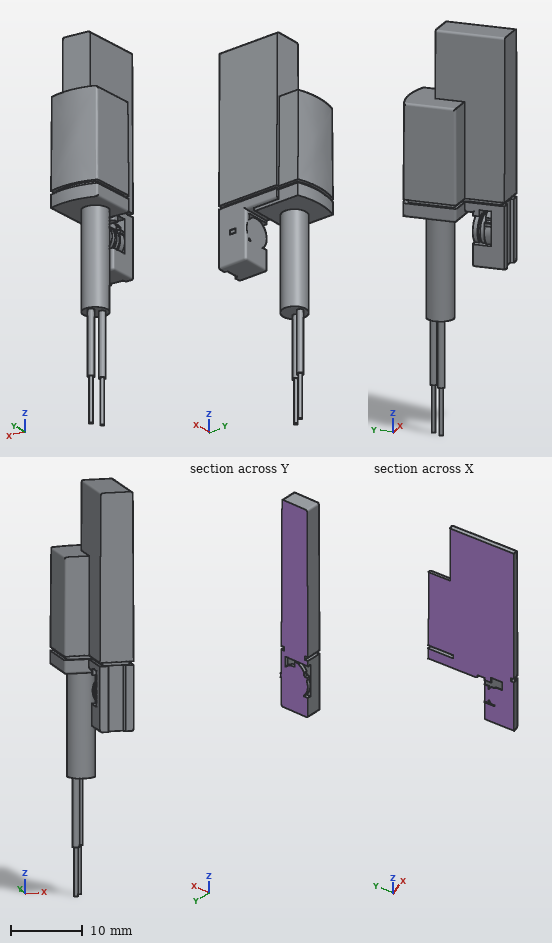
import cadquery as cq

total_height = 58.9
seam_bottom = 34.25
seam_top = 34.75
seam_inset = 0.55
seam_corner_radius = 1.0
edge_radius = 0.35

body_width = 7.95
body_front = 5.9
body_side_back = 13.8
body_back = 14.5
body_top = 48.9
body_draft_angle = 0.4
body_base_bottom = 32.2

block_left = 3.55
block_right = 8.4
block_back = 10.35
block_draft = 0.1
foot_back = 4.85
foot_bottom = 24.85
bridge_bottom = 32.75
foot_mid_x = (block_left + block_right) / 2

groove_left = 4.7
groove_right = 7.25
groove_depth = 0.5
groove_wall_slope = 0.25

pocket_floor = 28.15
pocket_roof = 32.35
pocket_front = 2.0
pocket_right = 7.65
recess_back = 3.8
recess_roof = 33.3
wheel_z = 29.95
wheel_diameter = 4.5
wheel_radius = wheel_diameter / 2
wheel_groove_depth = 0.4
wheel_rim_length = 0.7
cam_back = 3.05
cam_radius = 2.4
tooth_reach = 2.35
tooth_bottom = 1.05
tooth_top = 1.5
lobe_step_foot = (-1.6, 1.55)
lobe_step_tip = (-1.75, 2.1)
lobe_arc_middle = (-1.2, 2.8)
nub_right = 8.55
nub_height = 0.65

cable_x = 3.35
cable_y = 9.5
cable_diameter = 4.0
cable_bottom = 16.95
wire_mid_x = 2.95
wire_mid_y = 9.8
wire_pitch_x = 0.9
wire_pitch_y = 1.5
insulation_diameter = 1.0
insulation_bottom = 7.0
bare_diameter = 0.6


def box(x0, x1, y0, y1, z0, z1):
    """Box between two limits along each axis."""
    return cq.Workplane("XY").box(x1 - x0, y1 - y0, z1 - z0, centered=False).translate((x0, y0, z0))


def rod(x, y, diameter, z0, z1):
    """Round bar along Z."""
    return cq.Workplane("XY", origin=(x, y, z0)).circle(diameter / 2).extrude(z1 - z0)


def body_prism(z0, z1, inset=0.0, draft_angle=0.0):
    """Rear body outline with its bulged back, extruded between two heights."""
    left = inset
    right = body_width - inset
    side_back = body_side_back - inset
    return (
        cq.Workplane("XY", origin=(0, 0, z0))
        .moveTo(left, body_front + inset)
        .lineTo(right, body_front + inset)
        .lineTo(right, side_back)
        .threePointArc((body_width / 2, body_back - inset), (left, side_back))
        .close()
        .extrude(z1 - z0, taper=draft_angle)
    )


def left_corners(prism):
    """The two upright edges on the -X side of a body prism."""
    return prism.edges("not (<Z or >Z)").edges("<X")


def upper_housing():
    """Rear body and the tall block, both narrowing slightly towards the top."""
    body = body_prism(seam_top, body_top, draft_angle=body_draft_angle)
    body = left_corners(body).add(body.faces(">Z").edges("<X")).fillet(edge_radius)
    block = (
        cq.Workplane("XZ")
        .polyline([
            (block_left, seam_top),
            (block_right, seam_top),
            (block_right - block_draft, total_height),
            (block_left + block_draft, total_height),
        ])
        .close()
        .extrude(-block_back)
        .faces(">Z")
        .edges("|Y")
        .fillet(edge_radius)
    )
    return body.union(block)


def neck():
    """Inset band that joins the two housings, rounded in its inner corner."""
    body = body_prism(seam_bottom, seam_top, seam_inset)
    body = left_corners(body).fillet(edge_radius)
    block = box(
        block_left + seam_inset, block_right - seam_inset,
        seam_inset, block_back - seam_inset,
        seam_bottom, seam_top,
    )
    inner_corner = cq.selectors.NearestToPointSelector(
        (block_left + seam_inset, body_front + seam_inset, (seam_bottom + seam_top) / 2)
    )
    return body.union(block).edges("|Z").edges(inner_corner).fillet(seam_corner_radius)


def foot():
    """Foot under the tall block, with its front groove."""
    column = box(block_left, block_right, 0, foot_back, foot_bottom, seam_bottom)
    column = column.edges("(|Z and >Y) or (<Z and (not <Y))").fillet(edge_radius)
    bridge = box(block_left, block_right, foot_back - edge_radius, block_back, bridge_bottom, seam_bottom)
    bridge = bridge.edges("<Z and |Y").fillet(edge_radius)
    groove = (
        cq.Workplane("XY", origin=(0, 0, foot_bottom))
        .polyline([
            (groove_left, 0),
            (groove_left + groove_wall_slope, groove_depth),
            (groove_right - groove_wall_slope, groove_depth),
            (groove_right, 0),
        ])
        .close()
        .extrude(seam_bottom - foot_bottom)
    )
    return column.union(bridge).cut(groove)


def wheel_pocket():
    """Pocket open to the -X side and the back, with a taller recess for the cam."""
    pocket = box(block_left, pocket_right, pocket_front, foot_back, pocket_floor, pocket_roof)
    recess = box(block_left, pocket_right, pocket_front, recess_back, pocket_floor, recess_roof)
    return pocket.union(recess)


def adjusting_wheel():
    """Wheel along Y: a rim, a bevelled groove, a second rim and the stepped cam."""
    rim_front = foot_back - wheel_rim_length
    groove_radius = wheel_radius - wheel_groove_depth
    rims = (
        cq.Workplane("XY")
        .polyline([
            (0, foot_back),
            (wheel_radius, foot_back),
            (wheel_radius, rim_front),
            (groove_radius, rim_front),
            (wheel_radius, rim_front - wheel_groove_depth),
            (wheel_radius, cam_back),
            (0, cam_back),
        ])
        .close()
        .revolve(360, (0, 0, 0), (0, 1, 0))
        .translate((foot_mid_x, 0, wheel_z))
    )
    cam_plane = cq.Workplane("XZ", origin=(foot_mid_x, pocket_front, wheel_z))
    cam_length = cam_back - pocket_front
    cam = cam_plane.circle(cam_radius).extrude(-cam_length)
    lobe = (
        cam_plane.moveTo(0, 0)
        .lineTo(-tooth_reach, tooth_bottom)
        .lineTo(-tooth_reach, tooth_top)
        .lineTo(*lobe_step_foot)
        .lineTo(*lobe_step_tip)
        .threePointArc(lobe_arc_middle, (0, recess_roof - wheel_z))
        .close()
        .extrude(-cam_length)
    )
    nub = box(
        foot_mid_x, nub_right, pocket_front, cam_back, wheel_z - nub_height / 2, wheel_z + nub_height / 2
    )
    return rims.union(cam).union(lobe).union(nub)


def lower_housing():
    """Base of the rear body and the foot carrying the adjusting wheel."""
    base = body_prism(body_base_bottom, seam_bottom)
    base = left_corners(base).add(base.faces("<Z").edges("<X or <Y")).fillet(edge_radius)
    return base.union(foot()).cut(wheel_pocket()).union(adjusting_wheel())


def cable():
    """Cable sheath with two stripped wires set diagonally."""
    bundle = rod(cable_x, cable_y, cable_diameter, cable_bottom, seam_bottom)
    for side in (-1, 1):
        x = wire_mid_x + side * wire_pitch_x / 2
        y = wire_mid_y + side * wire_pitch_y / 2
        bundle = bundle.union(rod(x, y, insulation_diameter, insulation_bottom, cable_bottom))
        bundle = bundle.union(rod(x, y, bare_diameter, 0, insulation_bottom))
    return bundle


result = upper_housing().union(neck()).union(lower_housing()).union(cable())